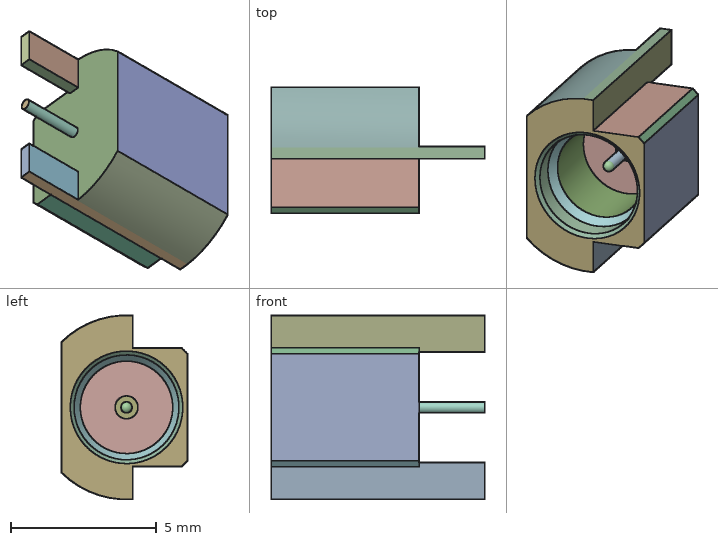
import cadquery as cq
import math

total_length = 7.34
body_length = 5.09
back_y = 2.24
front_y = -2.1
flange_half_height = 3.16

block_half_height = 2.04
block_chamfer = 0.205
tab_front_y = -0.22
tab_thickness = 0.425
flat_back_y = 0.16
tab_inner_z = 1.895

bore_diameter = 3.605
inner_bore_diameter = 3.18
mouth_chamfer = 0.13
bore_taper_start = 0.88
bore_taper_angle = 30.0
bore_depth = 3.67

pin_diameter = 0.38
pin_tip_x = 1.835
recess_diameter = 0.785
recess_depth = 0.15


def extrude_profile(length):
    """Extrude the rounded flange together with its chamfered front block."""
    arc_radius = math.hypot(flat_back_y, flange_half_height)
    arc_end_z = math.sqrt(arc_radius**2 - back_y**2)
    arc_start_angle = math.atan2(flange_half_height, flat_back_y)
    arc_end_angle = math.atan2(arc_end_z, back_y)
    middle_angle = (arc_start_angle + arc_end_angle) / 2
    arc_middle_y = arc_radius * math.cos(middle_angle)
    arc_middle_z = arc_radius * math.sin(middle_angle)

    upper_half = (
        cq.Workplane("YZ")
        .moveTo(front_y, 0)
        .lineTo(front_y, block_half_height - block_chamfer)
        .lineTo(front_y + block_chamfer, block_half_height)
        .lineTo(tab_front_y, block_half_height)
        .lineTo(tab_front_y, flange_half_height)
        .lineTo(flat_back_y, flange_half_height)
        .threePointArc((arc_middle_y, arc_middle_z), (back_y, arc_end_z))
        .lineTo(back_y, 0)
        .close()
        .extrude(length)
    )
    return upper_half.union(upper_half.mirror("XY")).clean()


def make_tab(side):
    """Make the upper (+1) or lower (-1) tab, its outer edge following the flange outline."""
    tab_height = flange_half_height - tab_inner_z
    slab = cq.Workplane("XY").box(total_length - body_length, tab_thickness, tab_height).translate((
        (total_length + body_length) / 2,
        tab_front_y + tab_thickness / 2,
        side * (flange_half_height + tab_inner_z) / 2,
    ))
    return slab.intersect(extrude_profile(total_length))


def make_bore():
    """Revolve the chamfered, tapering bore and the recess in its floor."""
    bore_radius = bore_diameter / 2
    inner_radius = inner_bore_diameter / 2
    recess_radius = recess_diameter / 2
    taper_length = (bore_radius - inner_radius) / math.tan(math.radians(bore_taper_angle))
    return (
        cq.Workplane("XY")
        .moveTo(0, 0)
        .lineTo(0, bore_radius + mouth_chamfer)
        .lineTo(mouth_chamfer, bore_radius)
        .lineTo(bore_taper_start, bore_radius)
        .lineTo(bore_taper_start + taper_length, inner_radius)
        .lineTo(bore_depth, inner_radius)
        .lineTo(bore_depth, recess_radius)
        .lineTo(bore_depth + recess_depth, recess_radius)
        .lineTo(bore_depth + recess_depth, 0)
        .close()
        .revolve(360, (0, 0, 0), (1, 0, 0))
    )


def make_pin():
    """Make the contact pin with a hemispherical tip."""
    pin_radius = pin_diameter / 2
    dome_center_x = pin_tip_x + pin_radius
    shaft = (
        cq.Workplane("YZ", origin=(dome_center_x, 0, 0))
        .circle(pin_radius)
        .extrude(total_length - dome_center_x)
    )
    tip = cq.Workplane("XY").sphere(pin_radius).translate((dome_center_x, 0, 0))
    return shaft.union(tip)


result = extrude_profile(body_length).cut(make_bore())
for side in (1, -1):
    result = result.union(make_tab(side))
result = result.union(make_pin())